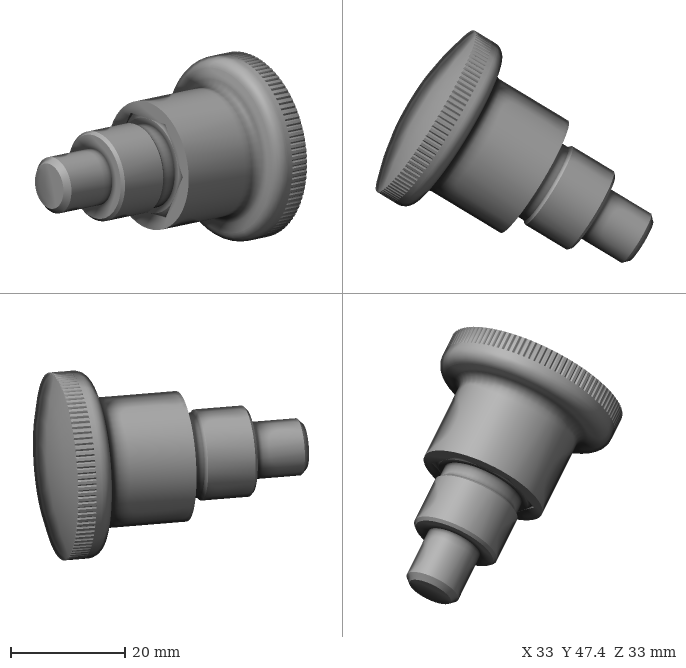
import cadquery as cq
import math


knob_radius = 16.5
collar_radius = 11.45
collar_length = 14.02
neck_fillet = 1.55
rim_fillet = 2.25
underside_angle = math.radians(12)
dome_edge_y = 22.4
dome_top_y = 25.35

knurl_count = 100
knurl_start_y = 19.15
groove_width = 0.5
groove_depth = 0.26

hex_across_flats = 17.0
hex_height = 8.0
hex_sides = 6
hex_chamfer_angle = math.radians(30)

sleeve_length = 12.0
sleeve_radius = 8.0
sleeve_end_chamfer = 0.5
relief_radius = 7.5
relief_length = 2.4
pin_radius = 5.0
pin_length = 10.05
pin_chamfer = 1.0

hex_corner_radius = hex_across_flats / 2 / math.cos(math.pi / hex_sides)


def revolve_about_y(profile):
    """Turn a closed half profile (radius, y) into a solid of revolution about Y."""
    return profile.close().revolve(360, (0, 0, 0), (0, 1, 0))


def hex_prism():
    """Hexagonal prism from the collar face inwards, with corners on the X axis."""
    return (
        cq.Workplane("XZ")
        .polygon(hex_sides, 2 * hex_corner_radius)
        .extrude(-hex_height)
    )


def arc_point(center, radius, angle):
    """Point on a circle in the (radius, y) half plane."""
    return (center[0] + radius * math.cos(angle), center[1] + radius * math.sin(angle))


def knob_blank():
    """Collar, flange and dome as one turned shape."""
    neck_center = (collar_radius + neck_fillet, collar_length)
    neck_end_angle = math.pi / 2 + underside_angle
    neck_mid = arc_point(neck_center, neck_fillet, (math.pi + neck_end_angle) / 2)
    neck_end = arc_point(neck_center, neck_fillet, neck_end_angle)

    rim_start_angle = underside_angle - math.pi / 2
    rim_center_x = knob_radius - rim_fillet
    rim_start_x = rim_center_x + rim_fillet * math.cos(rim_start_angle)
    rim_start_y = neck_end[1] + (rim_start_x - neck_end[0]) * math.tan(underside_angle)
    rim_center = (rim_center_x, rim_start_y - rim_fillet * math.sin(rim_start_angle))
    rim_mid = arc_point(rim_center, rim_fillet, rim_start_angle / 2)

    dome_height = dome_top_y - dome_edge_y
    dome_radius = (knob_radius**2 + dome_height**2) / (2 * dome_height)
    dome_center = (0, dome_top_y - dome_radius)
    dome_edge_angle = math.atan2(dome_edge_y - dome_center[1], knob_radius)
    dome_mid = arc_point(dome_center, dome_radius, (dome_edge_angle + math.pi / 2) / 2)

    return revolve_about_y(
        cq.Workplane("XY")
        .lineTo(collar_radius, 0)
        .lineTo(collar_radius, collar_length)
        .threePointArc(neck_mid, neck_end)
        .lineTo(rim_start_x, rim_start_y)
        .threePointArc(rim_mid, (knob_radius, rim_center[1]))
        .lineTo(knob_radius, dome_edge_y)
        .threePointArc(dome_mid, (0, dome_top_y))
    )


def knurl_cutter():
    """Ring with V teeth on its inside; subtracting it leaves the grooves in the rim."""
    pitch_angle = 2 * math.pi / knurl_count
    half_groove_angle = groove_width / 2 / knob_radius
    root_radius = knob_radius - groove_depth
    points = []
    for i in range(knurl_count):
        middle = math.pi / 2 + i * pitch_angle
        for radius, angle in (
            (knob_radius, middle - half_groove_angle),
            (root_radius, middle),
            (knob_radius, middle + half_groove_angle),
        ):
            points.append((radius * math.cos(angle), radius * math.sin(angle)))
    height = dome_top_y - knurl_start_y
    plane = cq.Workplane("XZ", origin=(0, knurl_start_y, 0))
    ring = plane.circle(knob_radius + groove_depth).extrude(-height)
    return ring.cut(plane.polyline(points).close().extrude(-height))


def make_knob():
    return knob_blank().cut(hex_prism()).cut(knurl_cutter())


def chamfered_head():
    """Hexagon whose corners are turned off conically down to the across-flats circle."""
    flat_radius = hex_across_flats / 2
    corner_drop = (hex_corner_radius - flat_radius) * math.tan(hex_chamfer_angle)
    envelope = revolve_about_y(
        cq.Workplane("XY")
        .lineTo(flat_radius, 0)
        .lineTo(hex_corner_radius, corner_drop)
        .lineTo(hex_corner_radius, hex_height)
        .lineTo(0, hex_height)
    )
    return hex_prism().intersect(envelope)


def make_plunger():
    """Hexagonal head, sleeve with relief groove and locating pin in one piece."""
    sleeve_end_y = -sleeve_length
    tip_y = sleeve_end_y - pin_length
    relief_step = sleeve_radius - relief_radius
    shank = revolve_about_y(
        cq.Workplane("XY")
        .lineTo(relief_radius, 0)
        .lineTo(relief_radius, -relief_length)
        .lineTo(sleeve_radius, -relief_length - relief_step)
        .lineTo(sleeve_radius, sleeve_end_y + sleeve_end_chamfer)
        .lineTo(sleeve_radius - sleeve_end_chamfer, sleeve_end_y)
        .lineTo(pin_radius, sleeve_end_y)
        .lineTo(pin_radius, tip_y + pin_chamfer)
        .lineTo(pin_radius - pin_chamfer, tip_y)
        .lineTo(0, tip_y)
    )
    return chamfered_head().union(shank)


knob = make_knob()
plunger = make_plunger()

result = cq.Compound.makeCompound([knob.val(), plunger.val()])